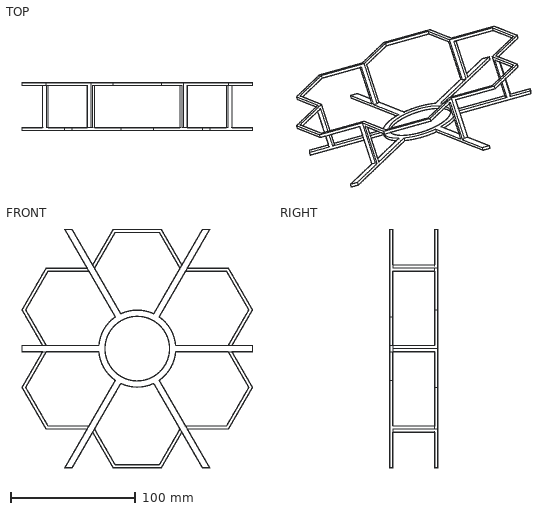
import cadquery as cq
import math

width = 185.3
depth = 38.7
height = 191.6
plate = 2.5
wall = 2.7
spoke_width = 5.2
hub_outer_radius = 31.0
hub_inner_radius = 25.9
petal_distance = 62.3
petals = 6

step_angle = 360 / petals
petal_apothem = height / 2 - petal_distance
front = -depth / 2
back = depth / 2


def upright(outline, y_start, length):
    """Extrude an XZ outline towards +Y, starting at y_start."""
    return outline.extrude(-length).translate((0, y_start, 0))


def polar_point(radius, angle):
    """XZ point at a radius from the hub axis, angle in degrees from +X."""
    return (radius * math.cos(math.radians(angle)), radius * math.sin(math.radians(angle)))


def flower(apothem, y_start, length):
    """Solid bounded by the outer edges of six overlapping hexagons."""
    side_distance = petal_distance + apothem
    half_side = apothem * math.tan(math.pi / petals)
    corner_radius = math.hypot(side_distance, half_side)
    corner_angle = math.degrees(math.atan2(half_side, side_distance))
    notch_radius = (apothem + petal_distance / 2) / math.cos(math.pi / petals)
    points = []
    for i in range(petals):
        spoke_angle = i * step_angle
        petal_angle = spoke_angle + step_angle / 2
        points.append(polar_point(notch_radius, spoke_angle))
        points.append(polar_point(corner_radius, petal_angle - corner_angle))
        points.append(polar_point(corner_radius, petal_angle + corner_angle))
    return upright(cq.Workplane("XZ").polyline(points).close(), y_start, length)


def petal_frame(y_start, length):
    """Wall that follows the outline of the flower, open through the middle."""
    outer = flower(petal_apothem, y_start, length)
    return outer.cut(flower(petal_apothem - wall, y_start, length))


def spokes(y_start, length):
    """Six radial bars cut off square at the outer envelope of the part."""
    bars = None
    for i in range(petals // 2):
        outline = cq.Workplane("XZ").rect(2 * height, spoke_width)
        bar = upright(outline, y_start, length)
        bar = bar.rotate((0, 0, 0), (0, 1, 0), i * step_angle)
        bars = bar if bars is None else bars.union(bar)
    envelope = cq.Workplane("XY").box(width, depth, height)
    return bars.intersect(envelope)


def hub(radius, y_start, length):
    """Round disc on the central axis."""
    return upright(cq.Workplane("XZ").circle(radius), y_start, length)


wheel = spokes(front, plate).union(hub(hub_outer_radius, front, plate))
wheel = wheel.cut(hub(hub_inner_radius, front, plate))

posts = petal_frame(front, depth).intersect(spokes(front, depth))

result = wheel.union(posts).union(petal_frame(back - plate, plate))